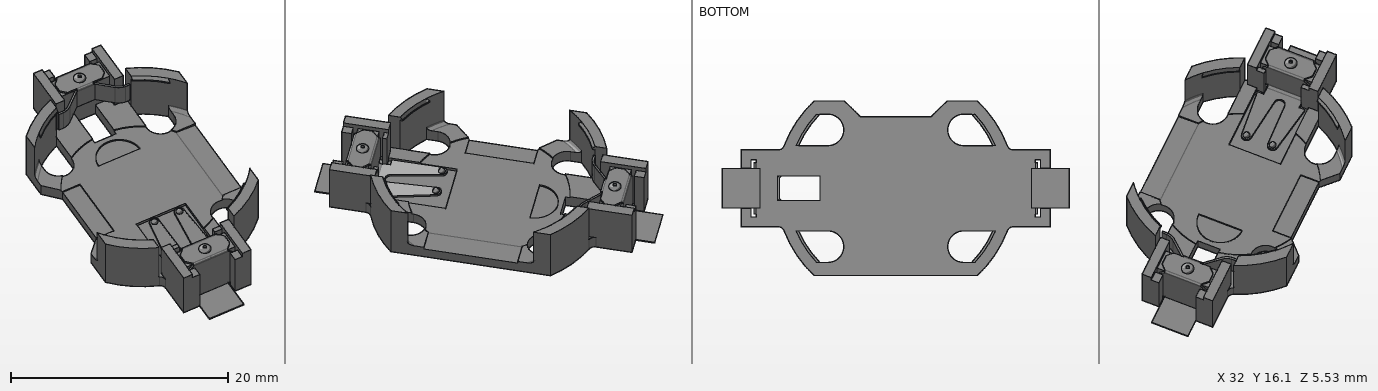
import cadquery as cq
import math


outer_radius = 11.0
inner_radius = 10.0
depth = 16.1
wall_top = 5.4
base_top = 1.25
dish_radius = 7.5
dish_floor = 1.12
root_fillet = 0.58

opening_inner_y = 3.95
opening_outer_y = 6.8
opening_radius = (opening_outer_y - opening_inner_y) / 2
opening_y = (opening_outer_y + opening_inner_y) / 2
opening_x = 6.25

wall_fillet = 0.35
lip_overhang = 0.22
lip_slope = 0.3
lip_face = 0.15

notch_half_width = 4.75
notch_floor_half_width = 3.23
notch_floor_y = -6.6
ramp_half_width = 4.4
ramp_start_y = 6.0
ramp_drop = 0.1

name_recess_half_width = notch_floor_half_width
name_recess_back_y = -4.77
name_recess_floor = 1.0
polarity_radius = 2.18
polarity_x = -4.32
polarity_floor = 0.95
fork_recess_start = 3.52
fork_recess_half_width = 2.6
fork_recess_floor = 0.83
window_end = -6.98
window_half_width = 1.12

tower_inner = 10.0
tower_outer = 14.25
tower_top = 4.9
tower_half_width = 3.55
tower_gap = 2.62
block_inner = 10.88
block_outer = 12.85
block_top = 4.45
post_gap = 1.85
outer_post_start = 13.3
inner_post_end = 10.4
peg_x = (block_inner + block_outer) / 2
peg_radius = 0.58
peg_dent_radius = 0.15
peg_shoulder = (0.48, 4.8)

sheet = 0.2
contact_half_width = 2.37
corner_cut = 0.55
bend_half_width = contact_half_width - corner_cut
flap_top = block_top + sheet
lead_end = 16.0
lead_inner_end = 12.48
lead_drop = 0.13

tongue_half_width = 0.85
arm_bottom = 2.27
arm_corner_y = 1.0
arm_bend_start = (-9.5, 2.43)
arm_bend_middle = (-9.25, 2.85)
arm_end = (-9.15, 3.75)
arm_bend_end_y = 3.25

fork_tilt = math.radians(7.5)
fork_clearance = 0.1
fork_bend_radius = 0.32
neck_half_width = 1.8
shoulder_x = 9.63
shoulder_half_width = 2.4
fork_slot_x = 9.25
fork_slot_radius = 0.5
prong_x = 4.67
prong_y = 1.3
prong_radius = 0.48
dimple_radius = 0.32

SIDES = (-1, 1)


def block(x_range, y_range, z_range):
    """Box between two limits along each axis, which may be given in either order."""
    ranges = (x_range, y_range, z_range)
    size = [abs(b - a) for a, b in ranges]
    middle = [(a + b) / 2 for a, b in ranges]
    return cq.Workplane("XY").box(*size).translate(tuple(middle))


def disc(radius, bottom, top):
    return cq.Workplane("XY").workplane(offset=bottom).circle(radius).extrude(top - bottom)


def mirror_four(body):
    """The body with its mirror images in the XZ and YZ planes."""
    pair = body.union(body.mirror("XZ"))
    return pair.union(pair.mirror("YZ"))


def base_plate():
    """Round plate, flattened front and back, blended into the feet of the two towers."""
    plate = disc(outer_radius, 0, base_top)
    plate = plate.intersect(block((-outer_radius, outer_radius), (-depth / 2, depth / 2), (0, base_top)))
    core_width = (-tower_half_width, tower_half_width)
    plate = plate.union(block((-block_inner, block_inner), core_width, (0, base_top)))
    for side in SIDES:
        foot_x = (tower_inner * side, tower_outer * side)
        for edge in SIDES:
            plate = plate.union(block(foot_x, (edge * tower_gap, edge * tower_half_width), (0, base_top)))
    root_x = math.sqrt(outer_radius**2 - tower_half_width**2)
    for side in SIDES:
        for edge in SIDES:
            root = cq.selectors.NearestToPointSelector((side * root_x, edge * tower_half_width, base_top / 2))
            plate = plate.edges("|Z").edges(root).fillet(root_fillet)
    return plate


def floor_cuts():
    """Dish, front notch, back ramp and the recesses and window in the floor."""
    cuts = disc(dish_radius, dish_floor, base_top)
    back_y = depth / 2
    notch = [
        (-notch_half_width, -back_y),
        (-notch_floor_half_width, notch_floor_y),
        (notch_floor_half_width, notch_floor_y),
        (notch_half_width, -back_y),
    ]
    cuts = cuts.union(cq.Workplane("XY").polyline(notch).close().extrude(base_top))
    ramp = [
        (ramp_start_y, dish_floor),
        (back_y, dish_floor - ramp_drop),
        (back_y, base_top),
        (ramp_start_y, base_top),
    ]
    cuts = cuts.union(cq.Workplane("YZ").polyline(ramp).close().extrude(ramp_half_width, both=True))
    cuts = cuts.union(
        block(
            (-name_recess_half_width, name_recess_half_width),
            (notch_floor_y, name_recess_back_y),
            (name_recess_floor, base_top),
        )
    )
    polarity = disc(polarity_radius, polarity_floor, base_top).intersect(
        block((-polarity_radius, 0), (-polarity_radius, polarity_radius), (polarity_floor, base_top))
    )
    cuts = cuts.union(polarity.translate((polarity_x, 0, 0)))
    cuts = cuts.union(
        block(
            (fork_recess_start, block_inner),
            (-fork_recess_half_width, fork_recess_half_width),
            (fork_recess_floor, base_top),
        )
    )
    return cuts.union(
        block((-block_inner, window_end), (-window_half_width, window_half_width), (0, base_top))
    )


def corner_openings():
    """Four round-ended openings that run out to the inside of the cell walls."""
    opening = block((opening_x, inner_radius), (opening_inner_y, opening_outer_y), (0, base_top))
    opening = opening.union(disc(opening_radius, 0, base_top).translate((opening_x, opening_y, 0)))
    return mirror_four(opening.intersect(disc(inner_radius, 0, base_top)))


def cell_walls():
    """Four curved walls, each with a snap lip over its opening and a fillet at its foot."""
    ring = disc(outer_radius, 0, wall_top).cut(disc(inner_radius, 0, wall_top))
    walls = ring.intersect(block((0, outer_radius), (opening_inner_y, depth / 2), (0, wall_top)))

    lip_radius = inner_radius - lip_overhang
    lip_edge = wall_top - lip_slope
    lip = (
        cq.Workplane("XZ")
        .moveTo(inner_radius, wall_top)
        .lineTo(lip_radius, lip_edge)
        .lineTo(lip_radius, lip_edge - lip_face)
        .lineTo(inner_radius, lip_edge - lip_face)
        .close()
        .revolve(360, (0, 0), (0, 1))
    )
    walls = walls.union(
        lip.intersect(block((0, outer_radius), (opening_inner_y, opening_outer_y), (0, wall_top)))
    )

    arc_offset = wall_fillet * (1 - math.cos(math.pi / 4))
    fillet_top = base_top + wall_fillet
    fillet = (
        cq.Workplane("XZ")
        .moveTo(inner_radius - wall_fillet, base_top)
        .threePointArc((inner_radius - arc_offset, base_top + arc_offset), (inner_radius, fillet_top))
        .lineTo(inner_radius, base_top)
        .close()
        .revolve(360, (0, 0), (0, 1))
    )
    walls = walls.union(
        fillet.intersect(block((0, outer_radius), (opening_outer_y, depth / 2), (0, wall_top)))
    )
    return mirror_four(walls)


def posts(x_range):
    """Pair of posts against the inner faces of the side walls of a tower."""
    post = block(x_range, (post_gap, tower_gap), (0, block_top))
    return post.union(post.mirror("XZ"))


def tower():
    """Right-hand tower: side walls, centre block, outer posts and a peg with a dented round head."""
    side_wall = block((tower_inner, tower_outer), (tower_gap, tower_half_width), (0, tower_top))
    body = side_wall.union(side_wall.mirror("XZ"))
    body = body.union(block((block_inner, block_outer), (-tower_gap, tower_gap), (0, block_top)))
    body = body.union(posts((outer_post_start, tower_outer)))
    peg = (
        cq.Workplane("XZ")
        .moveTo(0, block_top)
        .lineTo(peg_radius, block_top)
        .lineTo(peg_radius, flap_top)
        .threePointArc(peg_shoulder, (peg_dent_radius, tower_top))
        .lineTo(peg_dent_radius, flap_top)
        .lineTo(0, flap_top)
        .close()
        .revolve(360, (0, 0), (0, 1))
    )
    return body.union(peg.translate((peg_x, 0, 0)))


def make_housing():
    body = base_plate().cut(floor_cuts()).cut(corner_openings()).union(cell_walls())
    body = body.union(tower()).union(tower().mirror("YZ"))
    return body.union(posts((tower_inner, inner_post_end)))


def bend(x, half_width):
    """Outward quarter-round bend of the sheet over one top edge of the centre block."""
    rod = cq.Workplane("XZ").circle(sheet).extrude(half_width, both=True).translate((x, 0, block_top))
    outward = math.copysign(sheet, x - peg_x)
    return rod.intersect(block((x, x + outward), (-half_width, half_width), (block_top, flap_top)))


def leg(x_start, bottom):
    """Upright leg of the sheet whose top corners are cut off beside the bend."""
    outline = [
        (-contact_half_width, bottom),
        (contact_half_width, bottom),
        (contact_half_width, block_top - corner_cut),
        (bend_half_width, block_top),
        (-bend_half_width, block_top),
        (-contact_half_width, block_top - corner_cut),
    ]
    return cq.Workplane("YZ").workplane(offset=x_start).polyline(outline).close().extrude(sheet)


def make_clip():
    """Right-hand clip: flap over the block with a peg hole, outer leg and solder lead."""
    flap = block(
        (block_inner, block_outer), (-contact_half_width, contact_half_width), (block_top, flap_top)
    )
    flap = flap.edges("|Z").chamfer(corner_cut)
    clip = flap.cut(disc(peg_radius, block_top, flap_top).translate((peg_x, 0, 0)))
    clip = clip.union(bend(block_outer, bend_half_width)).union(leg(block_outer, 0))
    lead = block((lead_inner_end, lead_end), (-bend_half_width, bend_half_width), (-lead_drop, 0))
    return clip.union(lead)


def make_left_contact():
    """Clip with a narrow tongue that splits into two curved spring arms."""
    tongue = block(
        (block_inner - sheet, block_inner), (-tongue_half_width, tongue_half_width), (arm_bottom, block_top)
    )
    clip = make_clip().union(bend(block_inner, tongue_half_width)).union(tongue).mirror("YZ")
    strip_x = -block_inner + sheet / 2
    path = (
        cq.Workplane("XY")
        .moveTo(strip_x, 0)
        .lineTo(strip_x, arm_corner_y)
        .lineTo(*arm_bend_start)
        .threePointArc(arm_bend_middle, (arm_end[0], arm_bend_end_y))
        .lineTo(*arm_end)
    )
    section = cq.Workplane("XZ").center(strip_x, 0).rect(sheet, block_top - arm_bottom)
    arm = section.sweep(path, transition="right").translate((0, 0, (block_top + arm_bottom) / 2))
    return clip.union(arm).union(arm.mirror("XZ"))


def make_right_contact():
    """Clip whose inner leg bends into a rising two-pronged fork with a dimple on each prong."""
    leg_x = block_inner - sheet / 2
    bend_x = leg_x - fork_bend_radius
    bend_z = fork_recess_floor + fork_clearance + sheet / 2 + fork_bend_radius
    sweep_angle = math.pi / 2 + fork_tilt

    def on_bend(angle):
        return (bend_x + fork_bend_radius * math.cos(angle), bend_z - fork_bend_radius * math.sin(angle))

    bend_end = on_bend(sweep_angle)
    path = cq.Workplane("XZ").moveTo(*on_bend(0)).threePointArc(on_bend(sweep_angle / 2), bend_end)
    section = cq.Workplane("XY").workplane(offset=bend_z).center(leg_x, 0).rect(sheet, 2 * neck_half_width)
    neck = section.sweep(path)

    fork_x, fork_z = bend_end
    slope = cq.Plane(
        origin=(fork_x, 0, fork_z),
        xDir=(-math.cos(fork_tilt), 0, math.sin(fork_tilt)),
        normal=(math.sin(fork_tilt), 0, math.cos(fork_tilt)),
    )

    def along(x):
        return (fork_x - x) / math.cos(fork_tilt)

    prong_outer = prong_y + prong_radius
    prong_inner = prong_y - prong_radius
    half_sheet = sheet / 2
    half_outline = [
        (0, neck_half_width),
        (along(shoulder_x), neck_half_width),
        (along(shoulder_x), shoulder_half_width),
        (along(prong_x), prong_outer),
    ]
    outline = half_outline + [(u, -v) for u, v in reversed(half_outline)]
    slot = [
        (along(fork_slot_x), fork_slot_radius),
        (along(prong_x), prong_inner),
        (along(prong_x), -prong_inner),
        (along(fork_slot_x), -fork_slot_radius),
    ]
    tips = [(along(prong_x), side * prong_y) for side in SIDES]
    fork = cq.Workplane(slope).polyline(outline).close().extrude(half_sheet, both=True)
    fork = fork.cut(cq.Workplane(slope).polyline(slot).close().extrude(half_sheet, both=True))
    slot_end = cq.Workplane(slope).center(along(fork_slot_x), 0).circle(fork_slot_radius)
    fork = fork.cut(slot_end.extrude(half_sheet, both=True))
    prong_ends = cq.Workplane(slope).pushPoints(tips).circle(prong_radius)
    fork = fork.union(prong_ends.extrude(half_sheet, both=True))
    dimples = cq.Workplane(slope).workplane(offset=half_sheet).pushPoints(tips).sphere(dimple_radius)
    underside = cq.Workplane(slope).workplane(offset=-half_sheet).pushPoints(tips)
    dimples = dimples.cut(underside.circle(prong_radius).extrude(-dimple_radius))

    clip = make_clip().union(bend(block_inner, bend_half_width)).union(leg(block_inner - sheet, bend_z))
    return clip.union(neck).union(fork).union(dimples)


housing = make_housing()
left_contact = make_left_contact()
right_contact = make_right_contact()

result = cq.Compound.makeCompound(
    [housing.solids().val(), left_contact.solids().val(), right_contact.solids().val()]
)